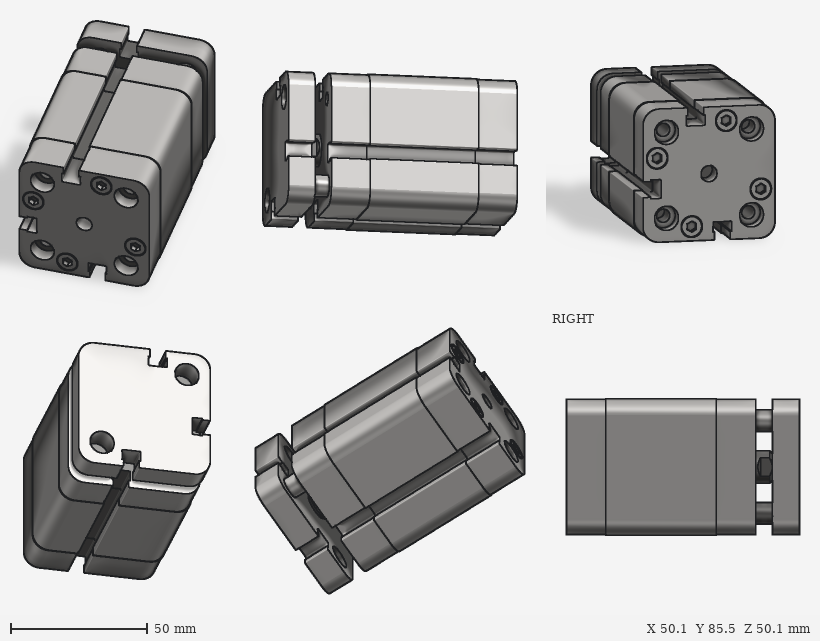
import cadquery as cq
import math


CAP_LENGTH = 14.5
TUBE_LENGTH = 40.5
ROD_GAP = 6.0
PLATE_LENGTH = 10.0

TUBE_START = CAP_LENGTH
REAR_CAP_START = TUBE_START + TUBE_LENGTH
BODY_END = REAR_CAP_START + CAP_LENGTH
PLATE_START = BODY_END + ROD_GAP
PLATE_END = PLATE_START + PLATE_LENGTH

CAP_SIZE = 49.7
TUBE_SIZE = 50.1
CORNER_RADIUS = 6.0

SLOT_OFFSET = 5.0
SLOT_WIDTH = 7.0
SLOT_FLOOR_RADIUS = 0.5
SLOT_MOUTH_RADIUS = 0.4
CAP_NECK_WIDTH = 5.9
CAP_NECK_DEPTH = 3.0
CAP_SLOT_DEPTH = 6.8
TUBE_NECK_WIDTH = 5.5
TUBE_NECK_DEPTH = 3.2
TUBE_SLOT_DEPTH = 7.1
SLOT_SIDE_ANGLES = (0, 90, 180)

HOLE_PITCH = 32.0
MOUNT_HOLE_DIAMETER = 4.92
COUNTERBORE_DIAMETER = 9.0
COUNTERBORE_DEPTH = 5.5
PLATE_HOLE_DIAMETER = 9.0
CENTER_HOLE_DIAMETER = 6.0
CENTER_HOLE_DEPTH = 8.0

GUIDE_ROD_PITCH = 34.0
GUIDE_ROD_DIAMETER = 8.0
PISTON_ROD_DIAMETER = 12.0
ROD_FLAT_WIDTH = 10.0
ROD_FLAT_LENGTH = 4.3
ROD_END_CHAMFER = 1.0

SCREW_RECESS_DIAMETER = 8.0
SCREW_HEAD_DIAMETER = 7.5
SCREW_GROOVE_DEPTH = 0.2
SCREW_LONG_OFFSET = 19.5
SCREW_SHORT_OFFSET = 6.5
HEX_ACROSS_FLATS = 3.5
HEX_DEPTH = 2.3

HOLE_OFFSET = HOLE_PITCH / 2
ROD_OFFSET = GUIDE_ROD_PITCH / 2
THROUGH_HOLES = [(-HOLE_OFFSET, HOLE_OFFSET), (HOLE_OFFSET, -HOLE_OFFSET)]
BLIND_HOLES = [(HOLE_OFFSET, HOLE_OFFSET), (-HOLE_OFFSET, -HOLE_OFFSET)]
GUIDE_RODS = [(ROD_OFFSET, ROD_OFFSET), (-ROD_OFFSET, -ROD_OFFSET)]
SCREWS = [
    (SCREW_SHORT_OFFSET, SCREW_LONG_OFFSET),
    (-SCREW_LONG_OFFSET, SCREW_SHORT_OFFSET),
    (-SCREW_SHORT_OFFSET, -SCREW_LONG_OFFSET),
    (SCREW_LONG_OFFSET, -SCREW_SHORT_OFFSET),
]


def section_at(y):
    """Workplane at y with local axes X and -Z; extrusion runs toward +Y."""
    plane = cq.Plane(origin=(0, y, 0), xDir=(1, 0, 0), normal=(0, 1, 0))
    return cq.Workplane(plane)


def at(points):
    """Turn (x, z) points into workplane coordinates, whose second axis is -Z."""
    return [(x, -z) for x, z in points]


def cylinders(points, diameter, start, end):
    return section_at(start).pushPoints(at(points)).circle(diameter / 2).extrude(end - start)


def t_slot(size, neck_width, neck_depth, depth, length):
    """T-slot cutter entering the top side, with a rounded mouth and rounded floor corners."""
    top = size / 2
    neck_half = neck_width / 2
    slot_half = SLOT_WIDTH / 2
    neck_bottom = top - neck_depth
    floor = top - depth
    mouth_half = neck_half + SLOT_MOUTH_RADIUS
    mouth_bottom = top - SLOT_MOUTH_RADIUS
    floor_half = slot_half - SLOT_FLOOR_RADIUS
    wall_bottom = floor + SLOT_FLOOR_RADIUS
    quarter_inset = 1 - math.sqrt(0.5)
    mouth_inset = SLOT_MOUTH_RADIUS * quarter_inset
    floor_inset = SLOT_FLOOR_RADIUS * quarter_inset
    right_half = (
        section_at(0)
        .moveTo(0, -top)
        .lineTo(mouth_half, -top)
        .threePointArc((neck_half + mouth_inset, mouth_inset - top), (neck_half, -mouth_bottom))
        .lineTo(neck_half, -neck_bottom)
        .lineTo(slot_half, -neck_bottom)
        .lineTo(slot_half, -wall_bottom)
        .threePointArc((slot_half - floor_inset, -floor - floor_inset), (floor_half, -floor))
        .lineTo(0, -floor)
        .close()
        .extrude(length)
    )
    return right_half.union(right_half.mirror("YZ")).translate((-SLOT_OFFSET, 0, 0))


def slotted_block(size, slot, start, end):
    """Rounded square block with the same T-slot cut into each slotted side."""
    block = section_at(start).rect(size, size).extrude(end - start)
    block = block.edges("|Y").fillet(CORNER_RADIUS)
    slot = slot.translate((0, start, 0))
    for angle in SLOT_SIDE_ANGLES:
        block = block.cut(slot.rotate((0, 0, 0), (0, 1, 0), -angle))
    return block


def cap_block(start, end):
    slot = t_slot(CAP_SIZE, CAP_NECK_WIDTH, CAP_NECK_DEPTH, CAP_SLOT_DEPTH, end - start)
    return slotted_block(CAP_SIZE, slot, start, end)


def tube_block():
    slot = t_slot(TUBE_SIZE, TUBE_NECK_WIDTH, TUBE_NECK_DEPTH, TUBE_SLOT_DEPTH, TUBE_LENGTH)
    return slotted_block(TUBE_SIZE, slot, TUBE_START, REAR_CAP_START)


def cylinder_body():
    body = cap_block(0, TUBE_START).union(tube_block()).union(cap_block(REAR_CAP_START, BODY_END))
    body = body.cut(cylinders(THROUGH_HOLES + BLIND_HOLES, COUNTERBORE_DIAMETER, 0, COUNTERBORE_DEPTH))
    body = body.cut(cylinders(THROUGH_HOLES, MOUNT_HOLE_DIAMETER, 0, BODY_END))
    body = body.cut(cylinders(BLIND_HOLES, MOUNT_HOLE_DIAMETER, 0, CAP_LENGTH))
    return body.cut(cylinders([(0, 0)], CENTER_HOLE_DIAMETER, 0, CENTER_HOLE_DEPTH))


def screw_cuts():
    """Shallow ring groove around each screw head, and its hexagon socket with corners up and down."""
    recess_radius = SCREW_RECESS_DIAMETER / 2
    head_radius = SCREW_HEAD_DIAMETER / 2
    groove = section_at(0).circle(recess_radius).circle(head_radius).extrude(SCREW_GROOVE_DEPTH)
    hex_diameter = HEX_ACROSS_FLATS / math.cos(math.pi / 6)
    socket = section_at(0).transformed(rotate=(0, 0, 90)).polygon(6, hex_diameter).extrude(HEX_DEPTH)
    tool = groove.union(socket)
    cuts = cq.Workplane("XY")
    for x, z in SCREWS:
        cuts = cuts.add(tool.translate((x, 0, z)))
    return cuts.combine()


def piston_rod():
    """Round rod with two side flats that run out at 45 degrees, chamfered at the plate."""
    radius = PISTON_ROD_DIAMETER / 2
    flat_depth = radius - ROD_FLAT_WIDTH / 2
    flat_end = PLATE_START - ROD_FLAT_LENGTH
    rod = cylinders([(0, 0)], PISTON_ROD_DIAMETER, BODY_END, PLATE_START)
    rod = rod.faces(">Y").chamfer(ROD_END_CHAMFER)
    flat = (
        cq.Workplane("XY")
        .polyline([
            (radius - flat_depth, PLATE_START),
            (radius - flat_depth, flat_end),
            (radius, flat_end - flat_depth),
            (radius, PLATE_START),
        ])
        .close()
        .extrude(radius, both=True)
    )
    return rod.cut(flat).cut(flat.mirror("YZ"))


def end_plate():
    plate = cap_block(PLATE_START, PLATE_END)
    return plate.cut(cylinders(THROUGH_HOLES, PLATE_HOLE_DIAMETER, PLATE_START, PLATE_END))


guide_rods = cylinders(GUIDE_RODS, GUIDE_ROD_DIAMETER, BODY_END, PLATE_START)
body = cylinder_body().cut(screw_cuts())
result = body.union(guide_rods).union(piston_rod()).union(end_plate())